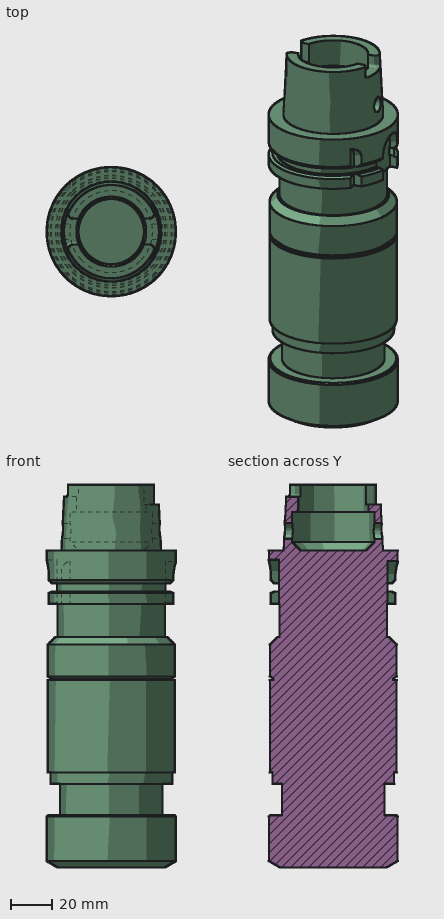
import cadquery as cq
import math


nose_length = 32.0
nose_gauge_radius = 48.01 / 2
nose_gauge_height = 6.3
nose_radius_per_height = 1 / 20

flange_radius = 63 / 2
flange_length = 26.0
groove_floor_radius = 55 / 2
groove_center_depth = 18.0
groove_width = 3.9
groove_flank_run = 1.6
groove_flank_height = 1.6
ring_chamfer_run = 1.8
ring_chamfer_height = 0.9

neck_radius = 52.5 / 2
collar_radius = 62 / 2
collar_cone_top_radius = 27.2
collar_depth = 42.1
relief_radius = 58.4 / 2
relief_depth = 61.3
relief_cone_height = 1.2
sleeve_depth = 63.0
step_radius = 59.4 / 2
step_depth = 108.0
spindle_radius = 49.99 / 2
spindle_depth = 113.6

nut_radius = 63 / 2
nut_depth = 128.8
nut_top_chamfer = 0.8
nut_cone_depth = 151.2
nut_end_radius = 26.0
overall_length = 186.4

bore_radius = 34.05 / 2
undercut_radius = 40.08 / 2
undercut_top = 18.6
bore_floor_radius = 15.9
bore_floor_height = 0.0

cross_hole_diameter = 7.5
cross_hole_height = 9.4

notch_width = 12.54
notch_mouth_start = 18.4
notch_run_out = 7.0
shallow_notch_depth = 5.8
shallow_notch_mouth_radius = 2.7
shallow_notch_mouth_turn = 90
shallow_notch_foot_radius = 1.2
deep_notch_depth = 9.6
deep_notch_mouth_radius = 2.5
deep_notch_mouth_turn = 115

slot_floor_distance = 26.5
left_slot_width = 16.4
left_slot_top_depth = 4.6
right_slot_width = 18.0
right_slot_top_depth = 5.4

vee_vertex_radius = 28.5
vee_end_radius = 5.0
vee_end_depth = 5.3


def nose_radius(height):
    return nose_gauge_radius - (height - nose_gauge_height) * nose_radius_per_height


def make_body():
    bottom = nose_length - overall_length
    groove_top = -groove_center_depth + groove_width / 2
    groove_bottom = -groove_center_depth - groove_width / 2
    collar_cone_height = collar_radius - collar_cone_top_radius
    outline = [
        (0, nose_length),
        (nose_radius(nose_length), nose_length),
        (nose_radius(0), 0),
        (flange_radius, 0),
        (flange_radius, groove_top + groove_flank_height),
        (flange_radius - groove_flank_run, groove_top),
        (groove_floor_radius, groove_top),
        (groove_floor_radius, groove_bottom),
        (flange_radius - ring_chamfer_run, groove_bottom),
        (flange_radius, groove_bottom - ring_chamfer_height),
        (flange_radius, -flange_length),
        (neck_radius, -flange_length),
        (neck_radius, -collar_depth),
        (collar_cone_top_radius, -collar_depth),
        (collar_radius, -collar_depth - collar_cone_height),
        (collar_radius, -relief_depth),
        (relief_radius, -relief_depth - relief_cone_height),
        (relief_radius, -sleeve_depth),
        (collar_radius, -sleeve_depth),
        (collar_radius, -step_depth),
        (step_radius, -step_depth),
        (step_radius, -spindle_depth),
        (spindle_radius, -spindle_depth),
        (spindle_radius, -nut_depth),
        (nut_radius - nut_top_chamfer, -nut_depth),
        (nut_radius, -nut_depth - nut_top_chamfer),
        (nut_radius, -nut_cone_depth),
        (nut_end_radius, bottom),
        (0, bottom),
    ]
    return cq.Workplane("XZ").polyline(outline).close().revolve(360, (0, 0), (0, 1))


def make_bore():
    floor_cone_height = undercut_radius - bore_floor_radius
    outline = [
        (0, nose_length),
        (bore_radius, nose_length),
        (bore_radius, undercut_top),
        (undercut_radius, undercut_top),
        (undercut_radius, bore_floor_height + floor_cone_height),
        (bore_floor_radius, bore_floor_height),
        (0, bore_floor_height),
    ]
    return cq.Workplane("XZ").polyline(outline).close().revolve(360, (0, 0), (0, 1))


def make_cross_hole():
    return (
        cq.Workplane("YZ")
        .center(0, cross_hole_height)
        .circle(cross_hole_diameter / 2)
        .extrude(flange_radius, both=True)
    )


def make_drive_notch(side, depth, mouth_radius, mouth_turn, foot_radius):
    """Radial notch in the shank end whose walls round off outwards at the mouth.

    Each wall turns through mouth_turn degrees and then runs straight on, clear of the shank.
    """
    half_width = notch_width / 2
    arc_center_y = half_width + mouth_radius

    def arc_point(degrees):
        angle = math.radians(degrees)
        x = notch_mouth_start + mouth_radius * math.sin(angle)
        return x, arc_center_y - mouth_radius * math.cos(angle)

    middle_x, middle_y = arc_point(mouth_turn / 2)
    end_x, end_y = arc_point(mouth_turn)
    turn = math.radians(mouth_turn)
    clear_x = end_x + notch_run_out * math.cos(turn)
    clear_y = end_y + notch_run_out * math.sin(turn)
    floor_height = nose_length - depth
    notch = (
        cq.Workplane("XY")
        .workplane(offset=floor_height)
        .moveTo(0, -half_width)
        .lineTo(notch_mouth_start, -half_width)
        .threePointArc((middle_x, -middle_y), (end_x, -end_y))
        .lineTo(clear_x, -clear_y)
        .lineTo(flange_radius, -clear_y)
        .lineTo(flange_radius, clear_y)
        .lineTo(clear_x, clear_y)
        .lineTo(end_x, end_y)
        .threePointArc((middle_x, middle_y), (notch_mouth_start, half_width))
        .lineTo(0, half_width)
        .close()
        .extrude(depth)
    )
    if foot_radius > 0:
        inside = half_width / 2
        foot_edges = cq.selectors.BoxSelector(
            (inside, -clear_y, floor_height - foot_radius / 2),
            (end_x + foot_radius, clear_y, floor_height + foot_radius / 2),
        )
        notch = notch.edges(foot_edges).fillet(foot_radius)
    if side < 0:
        notch = notch.rotate((0, 0, 0), (0, 0, 1), 180)
    return notch


def make_flange_slot(side, width, top_depth):
    """Slot with a round upper end and a flat floor, open at the lower flange face."""
    arc_center = -top_depth - width / 2
    return (
        cq.Workplane("YZ")
        .workplane(offset=side * slot_floor_distance)
        .moveTo(-width / 2, arc_center)
        .threePointArc((0, -top_depth), (width / 2, arc_center))
        .lineTo(width / 2, -flange_length)
        .lineTo(-width / 2, -flange_length)
        .close()
        .extrude(side * flange_radius)
    )


def make_orientation_notch():
    """Corner pocket at -X +Y: a right-angled V with a round upper end, open downwards."""
    vertex_offset = vee_vertex_radius * math.sin(math.radians(45))
    arc_center_y = vertex_offset + vee_end_radius
    arc_center_z = -vee_end_depth - vee_end_radius
    arc_inset = vee_end_radius * math.sin(math.radians(45))
    return (
        cq.Workplane("YZ")
        .workplane(offset=-vertex_offset)
        .moveTo(vertex_offset, -flange_length)
        .lineTo(vertex_offset, arc_center_z)
        .threePointArc(
            (arc_center_y - arc_inset, arc_center_z + arc_inset),
            (arc_center_y, -vee_end_depth),
        )
        .lineTo(flange_radius, -vee_end_depth)
        .lineTo(flange_radius, -flange_length)
        .close()
        .extrude(-flange_radius)
    )


shallow_notch = make_drive_notch(
    -1,
    shallow_notch_depth,
    shallow_notch_mouth_radius,
    shallow_notch_mouth_turn,
    shallow_notch_foot_radius,
)
deep_notch = make_drive_notch(1, deep_notch_depth, deep_notch_mouth_radius, deep_notch_mouth_turn, 0)

result = (
    make_body()
    .cut(make_bore())
    .cut(make_cross_hole())
    .cut(shallow_notch)
    .cut(deep_notch)
    .cut(make_flange_slot(-1, left_slot_width, left_slot_top_depth))
    .cut(make_flange_slot(1, right_slot_width, right_slot_top_depth))
    .cut(make_orientation_notch())
)